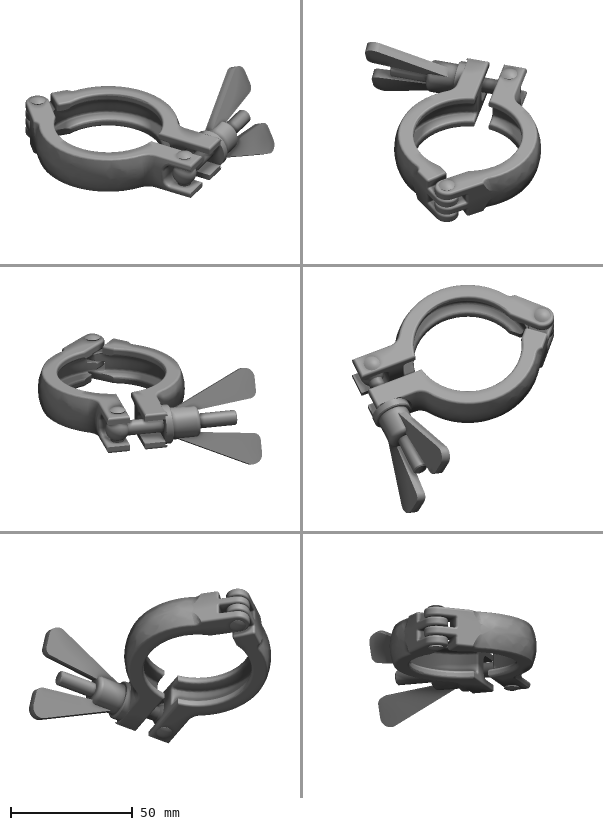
import cadquery as cq
import math

half_height = 7.95
crown_radius = 30.2
crown_drop = 1.8
bore_radius = 22.2
groove_radius = 27.3
groove_half_width = 4.3
mouth_half_width = 4.55
edge_round = 1.0
tolerance = 0.02
rim_radius = crown_radius - crown_drop

ear_gap = 6.2
ear_end_x = 46.2
ear_outer_y = 14.0
ear_blend_radius = 6.3
slot_start_x = 33.6
slot_half_height = 5.0
slot_corner_radius = 3.2
seat_y = 11.9
seat_radius = 9.0

hinge_x = -33.35
knuckle_radius = 4.92
arm_angle = 48.4
arm_flat_start = 14.1
arm_flat_apex = 18.0
relief_round = 3.0
knuckle_wall = 7.0
ring_start = 13.0
finger_count = 4
finger_gap = 0.3
finger_slot_corner = 0.5
finger_pitch = 2 * half_height / finger_count

pin_radius = 2.8
head_radius = 3.3
head_rim_height = 0.65
head_height = 1.62

bolt_x = 39.97
bolt_pin_y = -7.0
bolt_radius = 3.1
bolt_end_y = 43.0
bolt_chamfer = 0.5
ball_radius = 4.95

washer_radius = 8.05
washer_thickness = 3.15
washer_chamfer = 0.4
nut_radius = 6.6
nut_end_y = 27.0
nut_round = 1.8
wing_tilt = 24.8
wing_thickness = 4.0
wing_end_y = 52.1
wing_outer_round = 4.2
wing_inner_round = 3.0

wing_root_outer = (5.5, 16.0)
wing_tip_outer = (22.3, wing_end_y)
wing_tip_inner = (7.45, wing_end_y)
wing_root_inner = (3.5, 17.5)

big = 100.0


def block(x0, x1, y0, y1, z0, z1):
    """Box between two opposite corners."""
    size = (x1 - x0, y1 - y0, z1 - z0)
    return cq.Workplane("XY").box(*size, centered=False).translate((x0, y0, z0))


def crowned_disc():
    """Barrel-shaped disc that forms the outside of the ring."""
    profile = (
        cq.Workplane("XZ")
        .moveTo(0, -half_height)
        .lineTo(rim_radius, -half_height)
        .threePointArc((crown_radius, 0), (rim_radius, half_height))
        .lineTo(0, half_height)
        .close()
    )
    return profile.revolve(360, (0, 0, 0), (0, 1, 0))


def crowned_ear(start_x):
    """Straight ear with the same crown on its outer face."""
    edge_y = ear_outer_y - crown_drop
    profile = (
        cq.Workplane("YZ", origin=(start_x, 0, 0))
        .moveTo(0, -half_height)
        .lineTo(edge_y, -half_height)
        .threePointArc((ear_outer_y, 0), (edge_y, half_height))
        .lineTo(0, half_height)
        .close()
    )
    return profile.extrude(ear_end_x - start_x)


def ear_blend(centre_x, centre_y):
    """Web between ring and ear, hollowed by a crowned concave blend."""
    web = (
        cq.Workplane("XY", origin=(0, 0, -half_height))
        .polyline([(0, 0), (centre_x, 0), (centre_x, centre_y)])
        .close()
        .extrude(2 * half_height)
    )
    waist_radius = ear_blend_radius - crown_drop
    cutter = (
        cq.Workplane("XZ")
        .moveTo(0, -half_height)
        .lineTo(ear_blend_radius, -half_height)
        .threePointArc((waist_radius, 0), (ear_blend_radius, half_height))
        .lineTo(0, half_height)
        .close()
        .revolve(360, (0, 0, 0), (0, 1, 0))
    )
    return web.cut(cutter.translate((centre_x, centre_y, 0)))


def place_on_arm(body):
    """Move a body from arm coordinates (pivot at origin, arm along +X)."""
    return body.rotate((0, 0, 0), (0, 0, 1), arm_angle).translate((hinge_x, 0, 0))


def leave_arm(body):
    """Move a body from its final place into arm coordinates."""
    return body.translate((-hinge_x, 0, 0)).rotate((0, 0, 0), (0, 0, 1), -arm_angle)


def hinge_arm():
    """Straight arm from the pivot to the ring, relieved where it meets the crown."""
    arm = block(0, arm_flat_apex, -knuckle_radius, knuckle_radius, -half_height, half_height)
    arm = arm.union(cq.Workplane("XY").circle(knuckle_radius).extrude(half_height, both=True))
    flat_edge = cq.Vector(arm_flat_start - arm_flat_apex, 0, half_height)
    inward_slope = cq.Vector(1, -1, 0)
    relief_normal = flat_edge.cross(inward_slope)
    apex = (arm_flat_apex, knuckle_radius, 0)
    relief_plane = cq.Plane(apex, xDir=flat_edge, normal=relief_normal)
    relief = cq.Workplane(relief_plane).rect(big, big).extrude(big)
    arm = arm.cut(relief).cut(relief.mirror("XY"))
    return place_on_arm(arm)


def ring_blank():
    """Clamp half on the +Y side with sharp edges and no openings."""
    ring = crowned_disc().intersect(block(-big, big, 0, big, -big, big))
    ring = ring.cut(place_on_arm(block(-big, ring_start, -big, big, -big, big)))
    blend_y = ear_outer_y - crown_drop + ear_blend_radius
    blend_x = math.sqrt((rim_radius + ear_blend_radius) ** 2 - blend_y ** 2)
    body = ring.union(ear_blend(blend_x, blend_y)).union(crowned_ear(blend_x))
    body = body.union(hinge_arm())
    bore = cq.Workplane("XY").circle(bore_radius).extrude(big, both=True)
    below_ear = block(0, big, -big, ear_gap / 2, -big, big)
    return body.cut(bore).cut(below_ear)


def edges_where(body, test):
    """Select the edges of a body whose geometry passes a test."""
    return body.newObject([edge for edge in body.edges().vals() if test(edge)])


def near(value, target):
    """True when two sizes agree within the picking tolerance."""
    return abs(value - target) < tolerance


def round_arm_relief(body):
    """Concave blends between the relieved end of the arm and the ring."""

    def on_relief_root(edge):
        middle = edge.Center()
        beside_flat = arm_flat_start < middle.x < arm_flat_apex + edge_round
        on_outside = 0 < middle.y < knuckle_radius
        return edge.geomType() == "BSPLINE" and beside_flat and on_outside and not near(middle.z, 0)

    return edges_where(body, on_relief_root).fillet(relief_round)


def cut_fingers(body):
    """Two slots that leave every other hinge finger, then all outer edges rounded."""
    low_slot = block(
        -big, knuckle_wall, -big, big, -finger_pitch - finger_gap / 2, finger_gap / 2
    )
    low_slot = low_slot.edges("|Y and >X").fillet(finger_slot_corner)
    top_slot = block(-big, knuckle_wall, -big, big, finger_pitch - finger_gap / 2, big)
    top_slot = top_slot.edges("|Y and >X and <Z").fillet(finger_slot_corner)
    body = body.cut(low_slot).cut(top_slot)

    def on_outer_edge(edge):
        middle = edge.Center()
        if near(abs(middle.z), half_height):
            return True
        if middle.x > knuckle_wall + tolerance or abs(middle.y) > knuckle_radius + tolerance:
            return False
        if edge.geomType() == "CIRCLE" and near(edge.radius(), knuckle_radius):
            return True
        seam = near(middle.x, 0)
        return near(abs(middle.y), knuckle_radius) and not seam

    return edges_where(body, on_outer_edge).fillet(edge_round)


def cut_bolt_slot(body):
    """Open slot through the ear for the swing bolt, rounded at the outer face."""
    slot = block(slot_start_x, big, -big, big, -slot_half_height, slot_half_height)
    body = body.cut(slot.edges("|Y and <X").fillet(slot_corner_radius))
    mouth = cq.selectors.BoxSelector(
        (slot_start_x - tolerance, seat_y - edge_round, -slot_half_height - tolerance),
        (ear_end_x - tolerance, ear_outer_y + edge_round, slot_half_height + tolerance),
    )
    return body.edges(mouth).fillet(edge_round)


def cut_groove(body):
    """Flange groove inside the ring, with rounded floor corners and mouth."""
    side_slope = (mouth_half_width - groove_half_width) / (groove_radius - bore_radius)
    axis_half_width = groove_half_width + side_slope * groove_radius
    groove = (
        cq.Workplane("XZ")
        .moveTo(0, -axis_half_width)
        .lineTo(groove_radius, -groove_half_width)
        .lineTo(groove_radius, groove_half_width)
        .lineTo(0, axis_half_width)
        .close()
        .revolve(360, (0, 0, 0), (0, 1, 0))
    )

    def on_floor_corner(edge):
        return edge.geomType() == "CIRCLE" and near(abs(edge.Center().z), groove_half_width)

    body = body.cut(edges_where(groove, on_floor_corner).fillet(edge_round))

    def on_mouth(edge):
        middle = edge.Center()
        if abs(middle.z) > mouth_half_width + tolerance:
            return False
        if near(middle.y, ear_gap / 2) and bore_radius - edge_round < middle.x < groove_radius + edge_round:
            return True
        on_lip = edge.geomType() == "CIRCLE" and near(edge.radius(), bore_radius)
        return on_lip and near(abs(middle.z), mouth_half_width)

    return edges_where(body, on_mouth).fillet(edge_round)


def clamp_half():
    """Finished clamp half on the +Y side, without the nut seat."""
    body = leave_arm(ring_blank())
    body = cut_fingers(round_arm_relief(body))
    return cut_groove(cut_bolt_slot(place_on_arm(body)))


def nut_seat():
    """Round spot face under the nut's washer."""
    return cq.Workplane("XZ", origin=(bolt_x, seat_y, 0)).circle(seat_radius).extrude(-big)


def rivet(x, y):
    """Pin through the clamp with a domed head on both faces."""
    rim_z = half_height + head_rim_height
    top_z = half_height + head_height
    dome_radius = (head_radius ** 2 + (top_z - rim_z) ** 2) / (2 * (top_z - rim_z))
    dome_mid_r = head_radius / 2
    dome_mid_z = top_z - dome_radius + math.sqrt(dome_radius ** 2 - dome_mid_r ** 2)
    half = (
        cq.Workplane("XZ")
        .lineTo(pin_radius, 0)
        .lineTo(pin_radius, half_height)
        .lineTo(head_radius, rim_z)
        .threePointArc((dome_mid_r, dome_mid_z), (0, top_z))
        .close()
        .revolve(360, (0, 0, 0), (0, 1, 0))
    )
    return half.union(half.mirror("XY")).translate((x, y, 0))


def along_bolt(start_y, end_y, radius):
    """Cylinder on the bolt axis."""
    return cq.Workplane("XZ", origin=(bolt_x, start_y, 0)).circle(radius).extrude(start_y - end_y)


def swing_bolt():
    """Shank with a ball end that turns on the ear's pin."""
    shank = along_bolt(bolt_pin_y, bolt_end_y, bolt_radius).faces(">Y").chamfer(bolt_chamfer)
    ball = cq.Workplane("XY").sphere(ball_radius).translate((bolt_x, bolt_pin_y, 0))
    return shank.union(ball)


def wing():
    """One upright wing of the nut, in the plane of the bolt axis."""
    outline = [wing_root_outer, wing_tip_outer, wing_tip_inner, wing_root_inner]
    blade = (
        cq.Workplane("YZ")
        .polyline([(y, reach) for reach, y in outline])
        .close()
        .extrude(wing_thickness / 2, both=True)
    )
    blade = blade.edges("|X and >Y and >Z").fillet(wing_outer_round)
    return blade.edges("|X and >Y").edges("<Z").fillet(wing_inner_round)


def wing_nut():
    """Washer flange, barrel and two opposite leaning wings."""
    washer_end = seat_y + washer_thickness
    washer = along_bolt(seat_y, washer_end, washer_radius).faces(">Y").chamfer(washer_chamfer)
    barrel = along_bolt(washer_end, nut_end_y, nut_radius).faces(">Y").edges().fillet(nut_round)
    nut = washer.union(barrel)
    for turn in (0, 180):
        blade = wing().rotate((0, 0, 0), (0, 1, 0), turn - wing_tilt)
        nut = nut.union(blade.translate((bolt_x, 0, 0)))
    return nut


half = clamp_half()
lower_half = half.rotate((0, 0, 0), (1, 0, 0), 180)
upper_half = half.cut(nut_seat())

result = (
    upper_half.union(rivet(hinge_x, 0))
    .union(lower_half)
    .union(rivet(bolt_x, bolt_pin_y))
    .union(swing_bolt())
    .union(wing_nut())
)